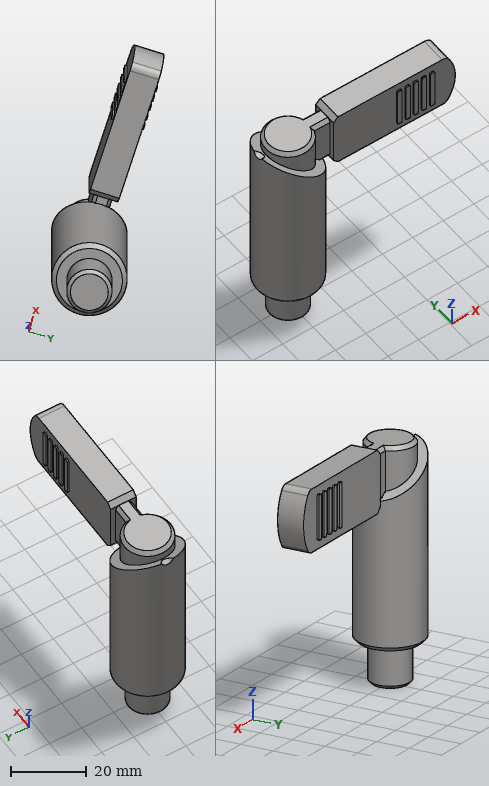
import cadquery as cq
import math


sleeve_radius = 10.0
sleeve_bottom = 12.0
sleeve_chamfer = 1.3
ramp_top = 67.3
ramp_bottom = 54.4
detent_radius = 2.0
detent_height = 68.0

pin_radius = 6.0
pin_chamfer = 1.0
head_radius = 7.25
head_top = 69.1
neck_width = 5.0
neck_bottom = 54.0
plunger_chamfer_height = 1.2
plunger_chamfer_width = 1.0

grip_start = 12.0
grip_end = 51.95
grip_top = 70.5
grip_height = 18.0
grip_thickness = 8.05
grip_chamfer = 1.5
grip_end_radius = 15.0
grip_corner_radius = 2.55
grip_middle = grip_top - grip_height / 2

rib_count = 5
rib_pitch = 2.7
rib_middle = 38.8
rib_width = 1.5
rib_length = 13.0
rib_rise = 0.5
rib_corner_radius = 0.5


def make_head():
    """Round head with a chamfered top edge, down to the underside of the neck."""
    return (
        cq.Workplane("XY")
        .workplane(offset=neck_bottom)
        .circle(head_radius)
        .extrude(head_top - neck_bottom)
        .faces(">Z")
        .edges()
        .chamfer(plunger_chamfer_height, plunger_chamfer_width)
    )


def make_neck():
    """Bar from the plunger axis to the grip, with its four long edges chamfered."""
    half = neck_width / 2
    inner = half - plunger_chamfer_width
    low_shoulder = neck_bottom + plunger_chamfer_height
    high_shoulder = head_top - plunger_chamfer_height
    section = [
        (inner, neck_bottom),
        (half, low_shoulder),
        (half, high_shoulder),
        (inner, head_top),
        (-inner, head_top),
        (-half, high_shoulder),
        (-half, low_shoulder),
        (-inner, neck_bottom),
    ]
    return cq.Workplane("YZ").polyline(section).close().extrude(grip_start)


def make_plunger():
    """Pin, head and neck as one body."""
    pin = cq.Workplane("XY").circle(pin_radius).extrude(neck_bottom)
    pin = pin.faces("<Z").edges().chamfer(pin_chamfer)
    return pin.union(make_head()).union(make_neck())


def make_sleeve(plunger):
    """Tube with a sloping top, a detent groove and a recess that fits the plunger."""
    tube = (
        cq.Workplane("XY")
        .workplane(offset=sleeve_bottom)
        .circle(sleeve_radius)
        .extrude(ramp_top - sleeve_bottom)
        .faces("<Z")
        .edges()
        .chamfer(sleeve_chamfer)
    )
    above_ramp = (
        cq.Workplane("XZ")
        .moveTo(-sleeve_radius, ramp_top)
        .lineTo(sleeve_radius, ramp_bottom)
        .lineTo(sleeve_radius, ramp_top)
        .close()
        .extrude(sleeve_radius, both=True)
    )
    detent = (
        cq.Workplane("YZ")
        .workplane(offset=-sleeve_radius)
        .center(0, detent_height)
        .circle(detent_radius)
        .extrude(sleeve_radius)
    )
    return tube.cut(above_ramp).cut(detent).cut(plunger)


def make_grip():
    """Flat grip with a chamfered inner end, a rounded outer end and ribs on both faces."""
    half_height = grip_height / 2
    arc_drop = grip_end_radius - math.sqrt(grip_end_radius**2 - half_height**2)
    corner_x = grip_end - arc_drop
    grip = (
        cq.Workplane("XZ")
        .moveTo(grip_start, grip_middle - half_height + grip_chamfer)
        .lineTo(grip_start + grip_chamfer, grip_middle - half_height)
        .lineTo(corner_x, grip_middle - half_height)
        .threePointArc((grip_end, grip_middle), (corner_x, grip_top))
        .lineTo(grip_start + grip_chamfer, grip_top)
        .lineTo(grip_start, grip_top - grip_chamfer)
        .close()
        .extrude(grip_thickness / 2, both=True)
    )
    corners_to_round = cq.selectors.BoxSelector(
        (corner_x - grip_corner_radius / 2, -grip_thickness, grip_middle - grip_height),
        (corner_x + grip_corner_radius / 2, grip_thickness, grip_middle + grip_height),
    )
    grip = grip.edges("|Y").edges(corners_to_round).fillet(grip_corner_radius)
    for index in range(rib_count):
        rib_x = rib_middle + (index - (rib_count - 1) / 2) * rib_pitch
        rib = (
            cq.Workplane("XY")
            .box(rib_width, grip_thickness + 2 * rib_rise, rib_length)
            .edges("|Y")
            .fillet(rib_corner_radius)
            .translate((rib_x, 0, grip_middle))
        )
        grip = grip.union(rib)
    return grip


plunger = make_plunger()
sleeve = make_sleeve(plunger)
grip = make_grip()

result = cq.Compound.makeCompound([sleeve.val(), plunger.val(), grip.val()])